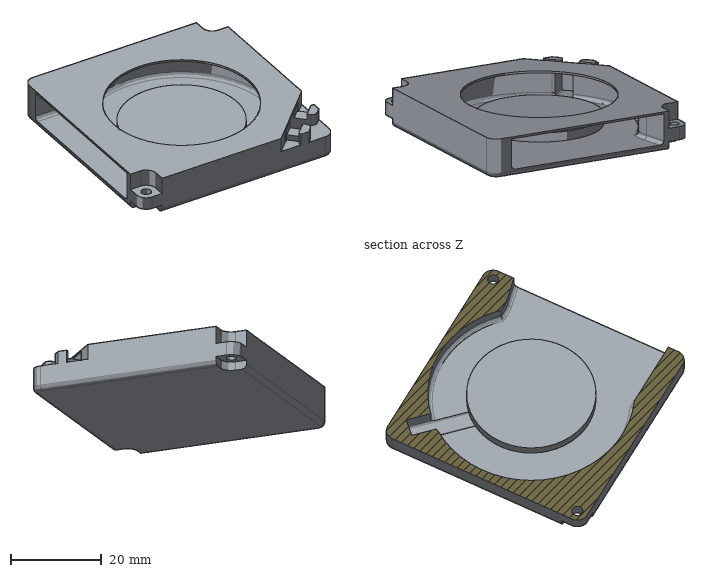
import cadquery as cq
import math

side = 50.0
height = 9.0
half = side / 2
corner_radius = 2.5
bottom_edge_radius = 1.05

floor_z = 1.45
lid_thickness = 0.45
ceiling_z = height - lid_thickness
chamber_center_x = 1.0
chamber_radius = 22.8
floor_fillet = 0.9
outlet_left_x = -20.0
outlet_right_x = 18.55
tongue_start_x = 17.3
tongue_start_y = -19.5
tongue_radius = 10.0
outlet_overrun = 2.5
inlet_radius = 17.45

impeller_radius = 14.3
impeller_bottom_z = 2.35
impeller_top_z = 4.45
hub_radius = 3.8

ear_size = 5.1
ear_bottom_z = 1.95
ear_top_z = 5.0
ear_hole_inset = 2.5
ear_hole_diameter = 2.3

corner_cut_leg = 14.0
corner_floor_z = 5.55
cut_face_along = half * math.sqrt(2) - corner_cut_leg / math.sqrt(2)
channel_width = 4.1
channel_floor_z = 1.3
channel_start_along = 7.5
channel_end_along = 29.1
channel_floor_fillet = 0.3
channel_end_rounding = 0.45
channel_mouth_bevel_width = 0.65
channel_mouth_bevel_depth = 0.2
ledge_thickness = 0.125
ledge_half_span = 5.95
ledge_root_depth = 0.5
pad_half_span = 5.0
pad_top_z = 6.9
post_start_along = 28.5
post_end_along = 30.55
post_blank_half_span = 10.0
post_side_x = 16.15
post_top_z = 8.35
post_rounding = 1.15


def on_diagonal(shape):
    """Turn a shape laid out along +X so that it points at the +X +Y corner."""
    return shape.rotate((0, 0, 0), (0, 0, 1), 45)


def block(x_min, x_max, y_min, y_max, z_min, z_max):
    return cq.Workplane("XY").box(
        x_max - x_min, y_max - y_min, z_max - z_min, centered=False
    ).translate((x_min, y_min, z_min))


def disc(radius, z_min, z_max):
    return (
        cq.Workplane("XY", origin=(chamber_center_x, 0, z_min))
        .circle(radius)
        .extrude(z_max - z_min)
    )


def rounded_body():
    return (
        cq.Workplane("XY")
        .rect(side, side)
        .extrude(height)
        .edges("|Z")
        .fillet(corner_radius)
        .faces("<Z")
        .edges()
        .fillet(bottom_edge_radius)
    )


def chamber():
    """Round impeller space joined to an outlet whose right wall bulges into a tongue."""
    depth = ceiling_z - floor_z
    lean = math.atan2(outlet_right_x - tongue_start_x, tongue_start_y + half)
    tongue_center_x = tongue_start_x + tongue_radius * math.cos(lean)
    tongue_center_y = tongue_start_y + tongue_radius * math.sin(lean)
    tongue_mid = (tongue_center_x - tongue_radius, tongue_center_y)
    tongue_end = (tongue_start_x, 2 * tongue_center_y - tongue_start_y)
    outlet_overrun_right_x = outlet_right_x + outlet_overrun * math.tan(lean)
    outlet = (
        cq.Workplane("XY", origin=(0, 0, floor_z))
        .moveTo(outlet_left_x, -half - outlet_overrun)
        .lineTo(outlet_overrun_right_x, -half - outlet_overrun)
        .lineTo(tongue_start_x, tongue_start_y)
        .threePointArc(tongue_mid, tongue_end)
        .lineTo(outlet_left_x, 0)
        .close()
        .extrude(depth)
    )
    space = disc(chamber_radius, floor_z, ceiling_z).union(outlet)
    return space.faces("<Z").edges().fillet(floor_fillet)


def ear_cuts():
    """Material removed above and below the two mounting ears."""
    cuts = cq.Workplane("XY")
    for x_sign in (1, -1):
        for z_min, z_max in ((0, ear_bottom_z), (ear_top_z, height)):
            inner = half - ear_size
            notch = block(inner, half, inner, half, z_min, z_max)
            notch = notch.edges("|Z and <X and <Y").fillet(corner_radius)
            turn = -90 if x_sign > 0 else 90
            cuts = cuts.add(notch.rotate((0, 0, 0), (0, 0, 1), turn))
    return cuts.combine()


def ear_holes():
    inset = half - ear_hole_inset
    return (
        cq.Workplane("XY")
        .pushPoints([(inset, -inset), (-inset, inset)])
        .circle(ear_hole_diameter / 2)
        .extrude(height)
    )


def corner_cut():
    inner = half - corner_cut_leg
    return (
        cq.Workplane("XY", origin=(0, 0, corner_floor_z))
        .polyline([(half, half), (inner, half), (half, inner)])
        .close()
        .extrude(height - corner_floor_z)
    )


def corner_ledge():
    """Thin strip on the cut corner face, ending below the lid."""
    return on_diagonal(
        block(
            cut_face_along - ledge_root_depth,
            cut_face_along + ledge_thickness,
            -ledge_half_span,
            ledge_half_span,
            corner_floor_z,
            ceiling_z,
        )
    )


def both_sides(piece):
    """A piece beside the cable channel and its mirror image, turned to the corner."""
    return on_diagonal(piece.union(piece.mirror("XZ")))


def pads():
    """Low blocks between the cut corner face and the posts."""
    return both_sides(
        block(
            cut_face_along,
            post_start_along,
            channel_width / 2,
            pad_half_span,
            corner_floor_z,
            pad_top_z,
        )
    )


def posts():
    """Posts behind the pads, rounded beside the channel and trimmed flush with the sides."""
    post = block(
        post_start_along,
        post_end_along,
        channel_width / 2,
        post_blank_half_span,
        corner_floor_z,
        post_top_z,
    )
    post = post.edges("|Z and >X and <Y").fillet(post_rounding)
    limit = block(post_side_x, half, post_side_x, half, corner_floor_z, post_top_z)
    return both_sides(post).intersect(limit)


def cable_channel():
    """Trench from under the impeller out to the corner, passing below the lid."""
    half_width = channel_width / 2
    trench = block(
        channel_start_along, channel_end_along, -half_width, half_width, channel_floor_z, ceiling_z
    )
    trench = trench.edges("|X and <Z").fillet(channel_floor_fillet)
    lip = block(
        channel_end_along,
        channel_end_along + channel_end_rounding,
        -half_width,
        half_width,
        corner_floor_z - channel_end_rounding,
        corner_floor_z,
    )
    roller = (
        cq.Workplane("XZ")
        .center(channel_end_along + channel_end_rounding, corner_floor_z - channel_end_rounding)
        .circle(channel_end_rounding)
        .extrude(half_width, both=True)
    )
    center_offset = chamber_center_x / math.sqrt(2)
    wall_along = center_offset + math.sqrt(chamber_radius**2 - (half_width + center_offset) ** 2)
    bevel_z = floor_z + floor_fillet
    bevel = (
        cq.Workplane("XY", origin=(0, 0, bevel_z))
        .moveTo(wall_along - channel_mouth_bevel_depth, half_width)
        .lineTo(wall_along + channel_mouth_bevel_depth, half_width)
        .lineTo(wall_along - channel_mouth_bevel_depth / 2, half_width + channel_mouth_bevel_width)
        .close()
        .extrude(ceiling_z - bevel_z)
    )
    return on_diagonal(trench.union(lip.cut(roller)).union(bevel))


result = (
    rounded_body()
    .cut(ear_cuts())
    .cut(ear_holes())
    .cut(corner_cut())
    .union(corner_ledge())
    .union(pads())
    .union(posts())
    .cut(chamber())
    .cut(cable_channel())
    .cut(disc(inlet_radius, ceiling_z, height))
    .union(disc(hub_radius, floor_z, impeller_bottom_z))
    .union(disc(impeller_radius, impeller_bottom_z, impeller_top_z))
)